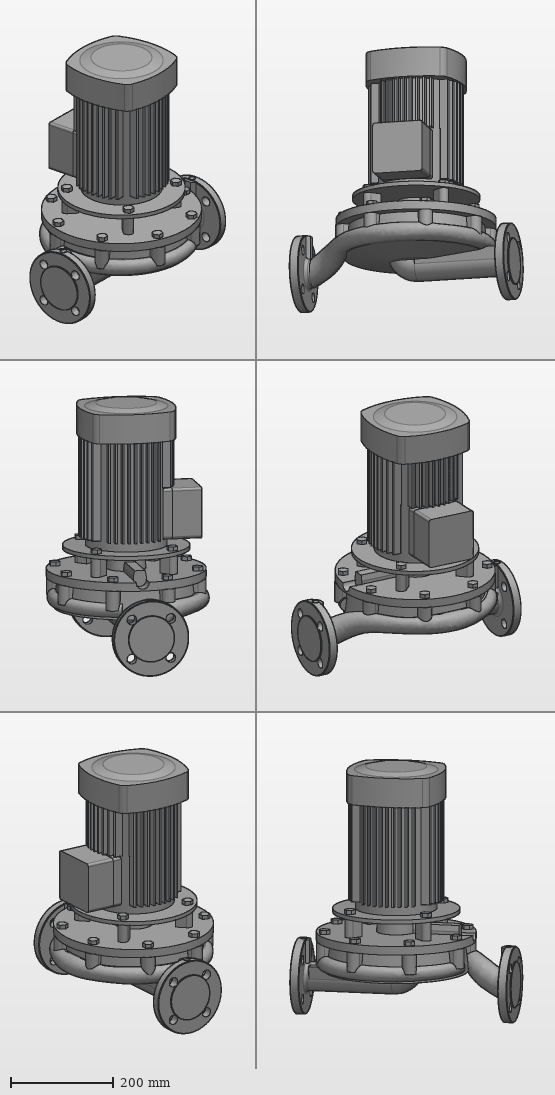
import cadquery as cq
import math


WALL_BASE_Z = 20.0
COVER_Z = 79.5
COVER_TOP_Z = 96.5
MOTOR_Z = 135.5
MOTOR_FLANGE_TOP_Z = 143.5
FIN_BASE_Z = 162.0
CAP_Z = 361.5
CAP_EDGE_Z = 420.0
TOP_Z = 426.0

COVER_BOLTS = 8
COVER_BOLT_RADIUS = 142.5
COVER_BOLT_START = 22.5
MOTOR_BOLTS = 4
MOTOR_BOLT_RADIUS = 107.5
MOTOR_BOLT_START = 45
BOLT_HEAD_DIAMETER = 21.5
BOLT_HEAD_HEIGHT = 8.0
EMBED = 2.5

SUCTION_FACE_Y = -200.0
DISCHARGE_FACE_Y = 240.0
FLANGE_RADIUS = 75.0
FLANGE_THICKNESS = 18.5
FLANGE_CHAMFER = 1.5
FACE_RADIUS = 46.0
FACE_HEIGHT = 2.5
FACE_CHAMFER = 1.0
FLANGE_HOLES = 4
FLANGE_HOLE_START = 45
FLANGE_HOLE_DIAMETER = 19.0
FLANGE_HOLE_RADIUS = 55.0
PIPE_RADIUS = 28.5
NECK_FILLET = 6.5
NECK_LENGTH = 10.0
FLANGE_BACK = FACE_HEIGHT + FLANGE_THICKNESS

LUG_DEPTH = 7.0
LUG_ROOT_WIDTH = 30.0
LUG_TIP_WIDTH = 14.0
LUG_BASE_Z = 25.0
PLUG_RADIUS = 6.5
PLUG_TOP_Z = 76.0

WALL_TOP_RADIUS = 135.0
WALL_BASE_RADIUS = 142.5
FLOOR_Z = 9.0
FLOOR_RADIUS = 45.0
BOSS_RADIUS = 13.5
BOSS_CENTRE_RADIUS = 145.5
BOSS_INNER_RADIUS = 120.0
BOSS_BASE_Z = 40.0

VOLUTE_Z = 38.0
VOLUTE_START = 75
VOLUTE_SWEEP = 270
VOLUTE_STEPS = 8
VOLUTE_START_OUTER = 152.0
VOLUTE_END_OUTER = 163.0
VOLUTE_START_TUBE = 13.5
VOLUTE_END_TUBE = 18.5

DISCHARGE_BEND = [
    ((-76.0, 128.5, 36.5), (0.8, 0.6, 0), 18.5),
    ((-44.5, 148.5, 31.0), (0.75, 0.6, -0.3), 22.0),
    ((-12.0, 182.0, 13.0), (0.4, 0.8, -0.4), 26.0),
]

BEND_START_Y = -4.0
BEND_RADIUS = 32.5
WEB_TOP_WIDTH = 65.0
WEB_TOP_Z = 25.0

COVER_RADIUS = 157.0
HUB_BASE_RADIUS = 38.5
HUB_TOP_RADIUS = 36.5
HUB_TOP_Z = 132.0
POST_RADIUS = 10.0
POST_INNER_RADIUS = 85.5
VENT_RADIUS = 13.0
VENT_END_Y = 128.5
VENT_SHOULDER_Z = 103.0
VENT_TOP_Z = 115.0
VENT_TOP_WIDTH = 21.0

MOTOR_FLANGE_RADIUS = 124.5
MOTOR_RADIUS = 80.0
SHAFT_RADIUS = 14.0
FIN_TIP_RADIUS = 93.0
FIN_PITCH = 12.5
FIN_WIDTH = 3.5
FINS_PER_SIDE = 9
CAP_HALF_WIDTH = 95.0
CAP_CORNER_NEAR = 70.5
CAP_CORNER_FAR = 81.5
CAP_CORNER_MID = 77.0
CAP_DOME_RADIUS = 81.5
CAP_TOP_RADIUS = 59.5

BOX_BASE_Z = 159.5
BOX_TOP_Z = 260.5
BOX_WIDTH = 100.0
BOX_FILLET = 5.0
BOX_OUTER_X = -141.0
BOX_JOINT_X = -81.5
BOX_GAP = 2.5


def cylinder(radius, z_low, z_high):
    return cq.Workplane("XY").workplane(offset=z_low).circle(radius).extrude(z_high - z_low)


def cone(low_radius, z_low, high_radius, z_high):
    profile = [(0, z_low), (low_radius, z_low), (high_radius, z_high), (0, z_high)]
    return cq.Workplane("XZ").polyline(profile).close().revolve(360, (0, 0), (0, 1))


def bolt_heads(count, circle_radius, start_angle, seat_z):
    """Hexagon heads, each with two corners along Y."""
    head = cq.Workplane("XY").polygon(6, BOLT_HEAD_DIAMETER).extrude(BOLT_HEAD_HEIGHT + EMBED)
    head = head.rotate((0, 0, 0), (0, 0, 1), 90)
    heads = cq.Workplane("XY")
    for index in range(count):
        angle = math.radians(start_angle + index * 360 / count)
        place = (circle_radius * math.cos(angle), circle_radius * math.sin(angle), seat_z - EMBED)
        heads = heads.add(head.translate(place))
    return heads


def radial_bosses(count, start_angle, centre_radius, inner_radius, radius, z_low, z_high):
    """Posts with a round outer side and a flat-sided web that runs inward."""
    web_length = centre_radius - inner_radius
    boss = cylinder(radius, z_low, z_high).translate((centre_radius, 0, 0))
    web = cq.Workplane("XY").box(web_length, 2 * radius, z_high - z_low, centered=(False, True, False))
    boss = boss.union(web.translate((inner_radius, 0, z_low)))
    bosses = cq.Workplane("XY")
    for index in range(count):
        angle = start_angle + index * 360 / count
        bosses = bosses.union(boss.rotate((0, 0, 0), (0, 0, 1), angle))
    return bosses




def pipe_flange(face_y, direction):
    """Flange with a raised face, pipe neck and gauge tapping; direction is +1 or -1 along Y."""
    back_y = -FLANGE_BACK
    neck_y = back_y - NECK_FILLET
    arc_offset = NECK_FILLET * (1 - math.sqrt(0.5))
    profile = (
        cq.Workplane("XY")
        .moveTo(0, 0)
        .lineTo(FACE_RADIUS - FACE_CHAMFER, 0)
        .lineTo(FACE_RADIUS, -FACE_CHAMFER)
        .lineTo(FACE_RADIUS, -FACE_HEIGHT)
        .lineTo(FLANGE_RADIUS - FLANGE_CHAMFER, -FACE_HEIGHT)
        .lineTo(FLANGE_RADIUS, -FACE_HEIGHT - FLANGE_CHAMFER)
        .lineTo(FLANGE_RADIUS, back_y + FLANGE_CHAMFER)
        .lineTo(FLANGE_RADIUS - FLANGE_CHAMFER, back_y)
        .lineTo(PIPE_RADIUS + NECK_FILLET, back_y)
        .threePointArc((PIPE_RADIUS + arc_offset, back_y - arc_offset), (PIPE_RADIUS, neck_y))
        .lineTo(PIPE_RADIUS, back_y - NECK_LENGTH)
        .lineTo(0, back_y - NECK_LENGTH)
        .close()
    )
    flange = profile.revolve(360, (0, 0), (0, 1))

    lug_outline = [
        (-LUG_ROOT_WIDTH / 2, back_y + EMBED),
        (-LUG_ROOT_WIDTH / 2, back_y),
        (-LUG_TIP_WIDTH / 2, back_y - LUG_DEPTH),
        (LUG_TIP_WIDTH / 2, back_y - LUG_DEPTH),
        (LUG_ROOT_WIDTH / 2, back_y),
        (LUG_ROOT_WIDTH / 2, back_y + EMBED),
    ]
    lug_height = FLANGE_RADIUS - FLANGE_CHAMFER - LUG_BASE_Z
    lug = cq.Workplane("XY").workplane(offset=LUG_BASE_Z).polyline(lug_outline).close().extrude(lug_height)
    plug_y = back_y + PLUG_RADIUS
    plug = cylinder(PLUG_RADIUS, LUG_BASE_Z, PLUG_TOP_Z).translate((0, plug_y, 0))

    holes = (
        cq.Workplane("XZ")
        .polarArray(FLANGE_HOLE_RADIUS, FLANGE_HOLE_START, 360, FLANGE_HOLES)
        .circle(FLANGE_HOLE_DIAMETER / 2)
        .extrude(FLANGE_BACK)
    )
    flange = flange.union(lug).union(plug).cut(holes)
    if direction < 0:
        flange = flange.rotate((0, 0, 0), (0, 0, 1), 180)
    return flange.translate((0, face_y, 0))


def section(centre, direction, radius):
    plane = cq.Plane(origin=centre, xDir=(0, 0, 1), normal=direction)
    return cq.Workplane(plane).circle(radius).wires().val()


def volute_and_discharge():
    """Tube lofted along the scroll and on through the S-bend to the discharge flange."""
    sections = []
    for step in range(VOLUTE_STEPS + 1):
        part = step / VOLUTE_STEPS
        angle = math.radians(VOLUTE_START - part * VOLUTE_SWEEP)
        tube = VOLUTE_START_TUBE + part * (VOLUTE_END_TUBE - VOLUTE_START_TUBE)
        outer = VOLUTE_START_OUTER + part * (VOLUTE_END_OUTER - VOLUTE_START_OUTER)
        x = (outer - tube) * math.cos(angle)
        y = (outer - tube) * math.sin(angle)
        sections.append(section((x, y, VOLUTE_Z), (math.sin(angle), -math.cos(angle), 0), tube))
    for centre, direction, radius in DISCHARGE_BEND:
        sections.append(section(centre, direction, radius))
    end_y = DISCHARGE_FACE_Y - FLANGE_BACK - NECK_LENGTH
    sections.append(section((0, end_y, 0), (0, 1, 0), PIPE_RADIUS))
    return cq.Workplane(cq.Solid.makeLoft(sections))


def suction_passage():
    """Straight pipe from the suction flange, webbed up to the floor, then bent up on the pump axis."""
    neck_end_y = SUCTION_FACE_Y + FLANGE_BACK + NECK_LENGTH
    length = BEND_START_Y - neck_end_y
    pipe = cq.Workplane("XZ", origin=(0, BEND_START_Y, 0)).circle(PIPE_RADIUS)
    pipe = pipe.extrude(length)
    web = (
        cq.Workplane("XZ", origin=(0, BEND_START_Y, 0))
        .moveTo(-PIPE_RADIUS, 0)
        .threePointArc((0, -PIPE_RADIUS), (PIPE_RADIUS, 0))
        .lineTo(WEB_TOP_WIDTH / 2, WEB_TOP_Z)
        .lineTo(-WEB_TOP_WIDTH / 2, WEB_TOP_Z)
        .close()
        .extrude(length)
    )
    bend = cq.Workplane("XZ", origin=(0, BEND_START_Y, 0)).circle(PIPE_RADIUS)
    bend = bend.revolve(90, (-5, BEND_RADIUS), (5, BEND_RADIUS))
    return pipe.union(web).union(bend)


def build_casing():
    casing = cone(WALL_BASE_RADIUS, WALL_BASE_Z, WALL_TOP_RADIUS, COVER_Z)
    casing = casing.union(cone(FLOOR_RADIUS, FLOOR_Z, WALL_BASE_RADIUS, WALL_BASE_Z))
    casing = casing.union(
        radial_bosses(
            COVER_BOLTS,
            COVER_BOLT_START,
            BOSS_CENTRE_RADIUS,
            BOSS_INNER_RADIUS,
            BOSS_RADIUS,
            BOSS_BASE_Z,
            COVER_Z,
        )
    )
    casing = casing.union(volute_and_discharge())
    casing = casing.union(suction_passage())
    casing = casing.union(pipe_flange(DISCHARGE_FACE_Y, 1))
    return casing.union(pipe_flange(SUCTION_FACE_Y, -1))




def vent_boss():
    """Boss that runs along +Y from the hub, with sloping upper sides."""
    end_face = [
        (-VENT_RADIUS, COVER_TOP_Z - EMBED),
        (VENT_RADIUS, COVER_TOP_Z - EMBED),
        (VENT_RADIUS, VENT_SHOULDER_Z),
        (VENT_TOP_WIDTH / 2, VENT_TOP_Z),
        (-VENT_TOP_WIDTH / 2, VENT_TOP_Z),
        (-VENT_RADIUS, VENT_SHOULDER_Z),
    ]
    return cq.Workplane("XZ").polyline(end_face).close().extrude(-VENT_END_Y)


def vent_groove():
    """Half-round groove in the cover from the end of the vent boss out to the rim."""
    groove = cq.Workplane("XZ").circle(VENT_RADIUS).extrude(-(COVER_RADIUS - VENT_END_Y))
    return groove.translate((0, VENT_END_Y, COVER_TOP_Z))


def build_cover():
    cover = cylinder(COVER_RADIUS, COVER_Z, COVER_TOP_Z)
    cover = cover.union(cone(HUB_BASE_RADIUS, COVER_TOP_Z, HUB_TOP_RADIUS, HUB_TOP_Z))
    cover = cover.union(vent_boss()).cut(vent_groove())
    cover = cover.union(
        radial_bosses(
            MOTOR_BOLTS,
            MOTOR_BOLT_START,
            MOTOR_BOLT_RADIUS,
            POST_INNER_RADIUS,
            POST_RADIUS,
            COVER_TOP_Z - EMBED,
            MOTOR_Z,
        )
    )
    return cover.union(bolt_heads(COVER_BOLTS, COVER_BOLT_RADIUS, COVER_BOLT_START, COVER_TOP_Z))




def box_block(x_low, x_high):
    """Block with the section of the terminal box, rounded along X."""
    height = BOX_TOP_Z - BOX_BASE_Z
    block = cq.Workplane("XY").box(x_high - x_low, BOX_WIDTH, height, centered=(False, True, False))
    return block.edges("|X").fillet(BOX_FILLET).translate((x_low, 0, BOX_BASE_Z))


def cooling_fins():
    """Parallel upright fins on all four sides, trimmed to one round outline."""
    fins = cq.Workplane("XY")
    height = CAP_Z - FIN_BASE_Z
    for index in range(FINS_PER_SIDE):
        offset = (index - (FINS_PER_SIDE - 1) / 2) * FIN_PITCH
        fin = cq.Workplane("XY").box(2 * FIN_TIP_RADIUS, FIN_WIDTH, height, centered=(True, True, False))
        fin = fin.translate((0, offset, FIN_BASE_Z))
        fins = fins.union(fin).union(fin.rotate((0, 0, 0), (0, 0, 1), 90))
    fins = fins.intersect(cylinder(FIN_TIP_RADIUS, FIN_BASE_Z, CAP_Z))
    box_room_width = BOX_WIDTH + 2 * FIN_PITCH
    box_room_height = BOX_TOP_Z + BOX_GAP - FIN_BASE_Z
    clearance = cq.Workplane("XY").box(
        FIN_TIP_RADIUS, box_room_width, box_room_height, centered=(False, True, False)
    )
    return fins.cut(clearance.translate((-FIN_TIP_RADIUS, 0, FIN_BASE_Z)))


def fan_cap():
    """Cap with four bowed sides, rounded corners and a low conical top."""
    near, far, mid, side = CAP_CORNER_NEAR, CAP_CORNER_FAR, CAP_CORNER_MID, CAP_HALF_WIDTH
    outline = (
        cq.Workplane("XY")
        .workplane(offset=CAP_Z)
        .moveTo(far, -near)
        .threePointArc((side, 0), (far, near))
        .threePointArc((mid, mid), (near, far))
        .threePointArc((0, side), (-near, far))
        .threePointArc((-mid, mid), (-far, near))
        .threePointArc((-side, 0), (-far, -near))
        .threePointArc((-mid, -mid), (-near, -far))
        .threePointArc((0, -side), (near, -far))
        .threePointArc((mid, -mid), (far, -near))
        .close()
    )
    cap = outline.extrude(CAP_EDGE_Z - CAP_Z)
    return cap.union(cone(CAP_DOME_RADIUS, CAP_EDGE_Z, CAP_TOP_RADIUS, TOP_Z))


def build_motor():
    motor = cylinder(MOTOR_RADIUS, MOTOR_Z, CAP_Z)
    motor = motor.union(cooling_fins())
    motor = motor.union(cylinder(MOTOR_FLANGE_RADIUS, MOTOR_Z, MOTOR_FLANGE_TOP_Z))
    motor = motor.union(bolt_heads(MOTOR_BOLTS, MOTOR_BOLT_RADIUS, MOTOR_BOLT_START, MOTOR_FLANGE_TOP_Z))
    motor = motor.union(cylinder(SHAFT_RADIUS, HUB_TOP_Z, MOTOR_Z))
    motor = motor.union(box_block(BOX_JOINT_X, 0))
    return motor.union(fan_cap())


def build_terminal_box():
    return box_block(BOX_OUTER_X, BOX_JOINT_X)


casing = build_casing()
cover = build_cover()
motor = build_motor()
terminal_box = build_terminal_box()

result = cq.Compound.makeCompound([casing.val(), cover.val(), motor.val(), terminal_box.val()])